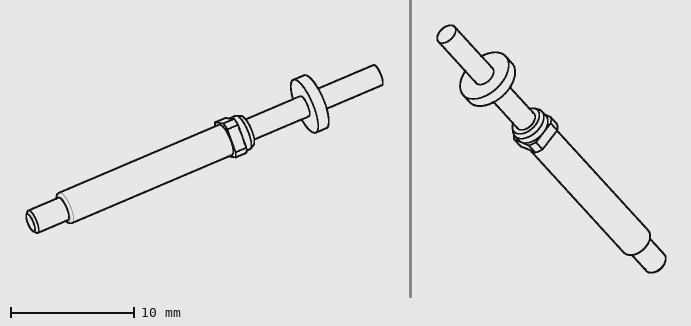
import cadquery as cq
import math

total_length = 32.1
pin_length = 3.02
body_length = 15.0
key_length = 1.0
collar_length = 1.0
disc_start = 25.33
disc_thickness = 1.0

pin_diameter = 2.0
body_diameter = 2.7
collar_diameter = 3.0
plunger_diameter = 1.8
disc_diameter = 4.7

key_across_flats = collar_diameter
key_corner_diameter = 3.6

pin_bevel = 0.22
collar_bevel_length = 0.4
collar_bevel_depth = 0.2

body_rim_radius = 0.22

front_tip = -total_length / 2
body_start = front_tip + pin_length
key_start = body_start + body_length
collar_start = key_start + key_length
collar_end = collar_start + collar_length


def cylinder(start, length, diameter):
    """Solid cylinder on the Y axis, running toward +Y from the given station."""
    workplane = cq.Workplane("XZ", origin=(0, start, 0))
    return workplane.circle(diameter / 2).extrude(-length)


def turned_barrel():
    """Front pin, body and collar revolved from one outline of (radius, station) points."""
    pin_radius = pin_diameter / 2
    body_radius = body_diameter / 2
    collar_radius = collar_diameter / 2
    rim_arc_offset = body_rim_radius * (1 - math.sqrt(0.5))
    outline = (
        cq.Workplane("XY")
        .moveTo(0, front_tip)
        .lineTo(pin_radius - pin_bevel, front_tip)
        .lineTo(pin_radius, front_tip + pin_bevel)
        .lineTo(pin_radius, body_start)
        .lineTo(body_radius - body_rim_radius, body_start)
        .threePointArc(
            (body_radius - rim_arc_offset, body_start + rim_arc_offset),
            (body_radius, body_start + body_rim_radius),
        )
        .lineTo(body_radius, collar_start)
        .lineTo(collar_radius, collar_start)
        .lineTo(collar_radius, collar_end - collar_bevel_length)
        .lineTo(collar_radius - collar_bevel_depth, collar_end)
        .lineTo(0, collar_end)
        .close()
    )
    return outline.revolve(360, (0, 0, 0), (0, 1, 0))


def key_section():
    """Square section with its corners on the X and Z axes, rounded off by a cylinder."""
    square = (
        cq.Workplane("XZ", origin=(0, key_start, 0))
        .transformed(rotate=(0, 0, 45))
        .rect(key_across_flats, key_across_flats)
        .extrude(-key_length)
    )
    return square.intersect(cylinder(key_start, key_length, key_corner_diameter))


plunger = cylinder(collar_end, total_length / 2 - collar_end, plunger_diameter)
disc = cylinder(front_tip + disc_start, disc_thickness, disc_diameter)

result = turned_barrel().union(key_section()).union(plunger).union(disc)